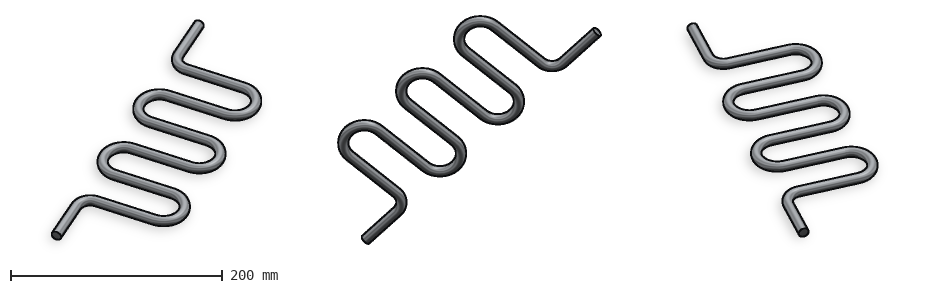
import cadquery as cq

rod_diameter = 10.0
row_length = 60.0
row_pitch = 40.0
return_bends = 5
corner_radius = 15.0
front_leg = 43.87
overall_length = 320.13

back_leg = overall_length - front_leg - return_bends * row_pitch - 2 * corner_radius


def centreline():
    """Serpentine path in the XY plane, starting at the -Y end on the Y axis."""
    left = corner_radius
    right = left + row_length
    y = front_leg + corner_radius

    path = cq.Workplane("XY").lineTo(0, front_leg)
    path = path.tangentArcPoint((left, y), relative=False)
    for bend in range(return_bends):
        row_end = right if bend % 2 == 0 else left
        path = path.lineTo(row_end, y)
        y += row_pitch
        path = path.tangentArcPoint((row_end, y), relative=False)
    path = path.lineTo(left, y)
    path = path.tangentArcPoint((0, y + corner_radius), relative=False)
    return path.lineTo(0, y + corner_radius + back_leg)


result = cq.Workplane("XZ").circle(rod_diameter / 2).sweep(centreline())